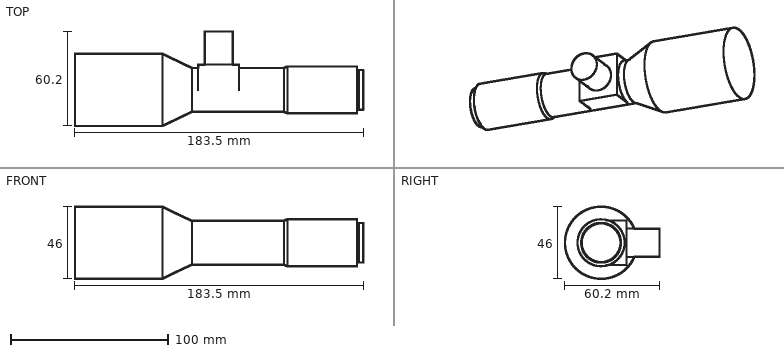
import cadquery as cq

length = 183.5
head_end = 55.6
cone_end = 74.3
sleeve_start = 132.9
sleeve_taper_length = 2.2
sleeve_end = 179.5
groove_width = 1.1

head_radius = 46.0 / 2
tube_radius = 28.0 / 2
sleeve_radius = 30.0 / 2
groove_radius = 11.7
lip_radius = 12.7
lip_chamfer = 0.4

overall_width = 60.2
block_center_x = 91.4
block_length = 26.0
block_reach = 16.1
block_height = 2 * tube_radius
port_radius = 9.0
port_reach = overall_width - head_radius


def make_body():
    """Stepped barrel revolved about the X axis."""
    lip_start = sleeve_end + groove_width
    profile = [
        (0, 0),
        (0, head_radius),
        (head_end, head_radius),
        (cone_end, tube_radius),
        (sleeve_start, tube_radius),
        (sleeve_start + sleeve_taper_length, sleeve_radius),
        (sleeve_end, sleeve_radius),
        (sleeve_end, groove_radius),
        (lip_start, groove_radius),
        (lip_start, lip_radius),
        (length - lip_chamfer, lip_radius),
        (length, lip_radius - lip_chamfer),
        (length, 0),
    ]
    return cq.Workplane("XY").polyline(profile).close().revolve(360, (0, 0, 0), (1, 0, 0))


def make_side_block():
    """Block from the barrel axis outward, flush with the top and bottom of the tube."""
    return (
        cq.Workplane("XY")
        .box(block_length, block_reach, block_height, centered=(True, False, True))
        .translate((block_center_x, 0, 0))
    )


def make_port():
    """Round port standing out of the side block."""
    return (
        cq.Workplane("XZ", origin=(block_center_x, 0, 0))
        .circle(port_radius)
        .extrude(-port_reach)
    )


result = make_body().union(make_side_block()).union(make_port())